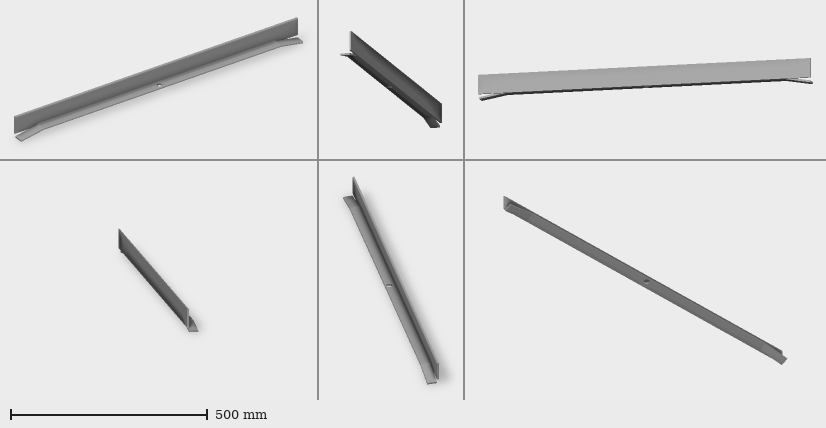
import cadquery as cq
import math

length = 870.0
web_height = 50.0
flange_reach = 30.0
thickness = 5.0
corner_radius = 4.0

tab_length = 70.0
tab_angle = 10.0
fold_y = length / 2 - tab_length

hole_diameter = 15.0
hole_x = 19.0


def make_web():
    """Full-length upright plate, outer face on X = 0, foot on Z = 0, inner top edge rounded."""
    web = cq.Workplane("XY").box(thickness, length, web_height, centered=(False, True, False))
    return web.edges(">X and >Z").fillet(corner_radius)


def make_flange_bar(start_y, bar_length):
    """Flat flange bar running toward +Y, with its upper free edge rounded."""
    bar = cq.Workplane("XY").box(flange_reach - thickness, bar_length, thickness, centered=False)
    bar = bar.edges(">X and >Z").fillet(corner_radius)
    return bar.translate((thickness, start_y, 0))


def make_inner_fillet():
    """Concave fillet between web and flange along the straight part of the flange."""
    tangent = thickness + corner_radius
    arc_middle = tangent - corner_radius * math.sqrt(0.5)
    return (
        cq.Workplane("XZ", origin=(0, fold_y, 0))
        .moveTo(thickness, thickness)
        .lineTo(tangent, thickness)
        .threePointArc((arc_middle, arc_middle), (thickness, tangent))
        .close()
        .extrude(2 * fold_y)
    )


def make_tab():
    """Flange end at +Y, turned down about the fold line on the top face."""
    fold_start = (0, fold_y, thickness)
    fold_end = (1, fold_y, thickness)
    return make_flange_bar(fold_y, tab_length).rotate(fold_start, fold_end, -tab_angle)


def make_hole():
    """Cutter for the round hole through the flange at mid-length."""
    return cq.Workplane("XY").center(hole_x, 0).circle(hole_diameter / 2).extrude(thickness)


tab = make_tab()
result = (
    make_web()
    .union(make_flange_bar(-fold_y, 2 * fold_y))
    .union(make_inner_fillet())
    .union(tab)
    .union(tab.mirror("XZ"))
    .cut(make_hole())
)